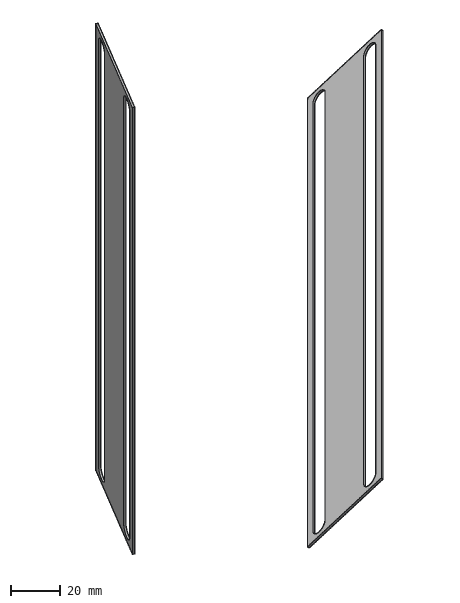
import cadquery as cq

plate_width = 48.0
plate_thickness = 1.0
plate_height = 270.0

slot_width = 7.8
slot_length = 265.0
slot_spacing = 33.0

plate = cq.Workplane("XZ").box(plate_width, plate_height, plate_thickness)

slots = (
    cq.Workplane("XZ")
    .pushPoints([(-slot_spacing / 2, 0), (slot_spacing / 2, 0)])
    .slot2D(slot_length, slot_width, angle=90)
    .extrude(plate_thickness, both=True)
)

result = plate.cut(slots)